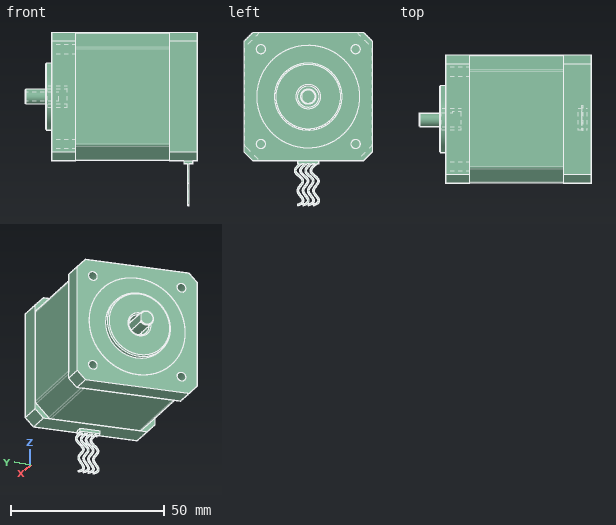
import cadquery as cq
CAP_SIDE = 42.0
CAP_CHAMFER = 2.9
FRONT_CAP_LENGTH = 7.9
REAR_CAP_LENGTH = 9.1

STATOR_INSET = 0.1
STATOR_SIDE = CAP_SIDE - 2 * STATOR_INSET
STATOR_CHAMFER = 4.95
STATOR_CORNER_RADIUS = 1.0
STATOR_LENGTH = 30.65

HOLE_PITCH = 31.0
HOLE_DIAMETER = 3.0
RECESS_DIAMETER = 33.6
RECESS_DEPTH = 0.1
PILOT_DIAMETER = 22.05
PILOT_HEIGHT = 2.05
PILOT_CHAMFER = 0.45
BORE_DIAMETER = 7.0
BORE_CHAMFER = 0.5
BORE_FLOOR = 5.0

SHAFT_DIAMETER = 5.0
SHAFT_REACH = 8.65
SHAFT_CHAMFER = 0.3
FLAT_OFFSET = 2.0
FLAT_END = 2.25

CONNECTOR_LENGTH = 3.0
CONNECTOR_WIDTH = 7.0
CONNECTOR_HEIGHT = 1.0
CONNECTOR_REAR_GAP = 1.4
WIRE_COUNT = 4
WIRE_PITCH = 1.7
WIRE_DIAMETER = 0.55
WIRE_BENDS = [(-0.7, 0.45), (0.75, -0.6), (1.7, -2.15), (-0.8, -5.55), (0.85, -8.65), (-0.85, -11.75), (0.9, -13.45)]

STATOR_START = FRONT_CAP_LENGTH
REAR_CAP_START = STATOR_START + STATOR_LENGTH
REAR_END = REAR_CAP_START + REAR_CAP_LENGTH
CONNECTOR_X = REAR_END - CONNECTOR_REAR_GAP - CONNECTOR_LENGTH / 2
CONNECTOR_BOTTOM = -CAP_SIDE / 2 - CONNECTOR_HEIGHT


def cylinder(diameter, start, end):
    """Round bar on the motor axis between two X positions."""
    return cq.Workplane("YZ", origin=(start, 0, 0)).circle(diameter / 2).extrude(end - start)


def chamfered_block(side, chamfer, start, length):
    """Square block on the motor axis with its four long edges chamfered."""
    block = cq.Workplane("YZ", origin=(start, 0, 0)).rect(side, side).extrude(length)
    return block.edges("|X").chamfer(chamfer)


def make_front_cap():
    """Front cap with a shallow round recess, a pilot boss, a blind bore and four mounting holes."""
    cap = chamfered_block(CAP_SIDE, CAP_CHAMFER, 0, FRONT_CAP_LENGTH)
    cap = cap.cut(cylinder(RECESS_DIAMETER, 0, RECESS_DEPTH))
    pilot = cylinder(PILOT_DIAMETER, -PILOT_HEIGHT, RECESS_DEPTH).faces("<X").chamfer(PILOT_CHAMFER)
    bore = cylinder(BORE_DIAMETER, -PILOT_HEIGHT, BORE_FLOOR)
    cap = cap.union(pilot).cut(bore)
    mouth = cq.Workplane("YZ", origin=(-PILOT_HEIGHT, 0, 0)).circle(BORE_DIAMETER / 2 + BORE_CHAMFER)
    mouth = mouth.workplane(offset=BORE_CHAMFER).circle(BORE_DIAMETER / 2).loft()
    holes = cq.Workplane("YZ").rect(HOLE_PITCH, HOLE_PITCH, forConstruction=True).vertices()
    holes = holes.circle(HOLE_DIAMETER / 2).extrude(FRONT_CAP_LENGTH)
    return cap.cut(mouth).cut(holes)


def make_stator():
    """Stator stack with rounded transitions between its flats and corner chamfers."""
    stator = chamfered_block(STATOR_SIDE, STATOR_CHAMFER, STATOR_START, STATOR_LENGTH)
    return stator.edges("|X").fillet(STATOR_CORNER_RADIUS)


def make_rear_cap():
    return chamfered_block(CAP_SIDE, CAP_CHAMFER, REAR_CAP_START, REAR_CAP_LENGTH)


def make_shaft():
    """Shaft standing on the bore floor, with a D flat on its +Y side."""
    shaft = cylinder(SHAFT_DIAMETER, -SHAFT_REACH, BORE_FLOOR)
    shaft = shaft.faces("<X").chamfer(SHAFT_CHAMFER)
    flat = cq.Workplane("XY").box(
        SHAFT_REACH + FLAT_END, SHAFT_DIAMETER, SHAFT_DIAMETER, centered=(False, False, True)
    )
    return shaft.cut(flat.translate((-SHAFT_REACH, FLAT_OFFSET, 0)))


def make_wire(exit_y):
    """Wavy round wire that starts inside the connector and leaves through its underside."""
    origin = (CONNECTOR_X, exit_y, CONNECTOR_BOTTOM)
    bends = [cq.Vector(0, y, z) for y, z in WIRE_BENDS]
    path = cq.Edge.makeSpline(bends).translate(cq.Vector(origin))
    section = cq.Plane(origin=path.startPoint(), xDir=(1, 0, 0), normal=path.tangentAt(0))
    return cq.Workplane(section).circle(WIRE_DIAMETER / 2).sweep(cq.Workplane(path))


def make_connector():
    """Connector block with its row of wires, as one body."""
    block = cq.Workplane("XY", origin=(CONNECTOR_X, 0, CONNECTOR_BOTTOM))
    lead = block.rect(CONNECTOR_LENGTH, CONNECTOR_WIDTH).extrude(CONNECTOR_HEIGHT)
    for i in range(WIRE_COUNT):
        lead = lead.union(make_wire((i - (WIRE_COUNT - 1) / 2) * WIRE_PITCH))
    return lead


front_cap = make_front_cap()
stator = make_stator()
rear_cap = make_rear_cap()
shaft = make_shaft()
connector = make_connector()

result = cq.Compound.makeCompound(
    [front_cap.val(), stator.val(), rear_cap.val(), shaft.val(), connector.val()]
)